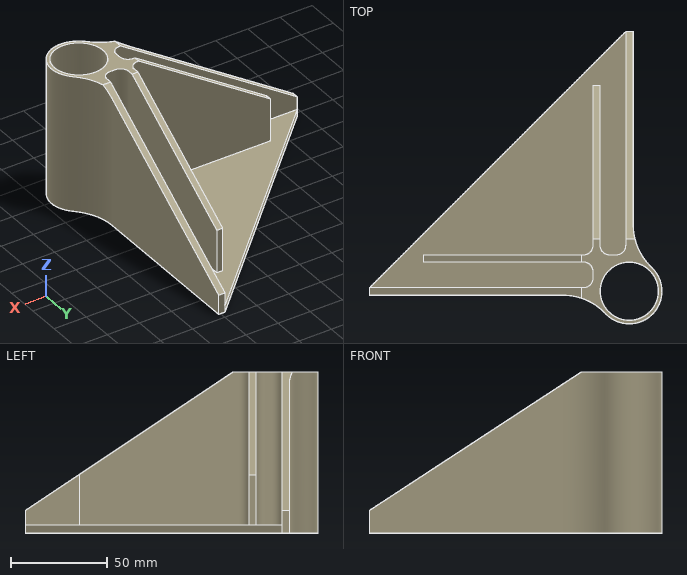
import cadquery as cq
import math

hub_radius = 17.0
bore_diameter = 30.1
overall = 152.2
height = 84.0
floor_thickness = 4.3

leg_end = overall - hub_radius
wall_outer = 2.1
wall_thickness = 4.0
wall_inner = wall_thickness - wall_outer
rib_thickness = 3.7
rib_inner = 18.9
rib_outer = rib_inner - rib_thickness
rib_end = 107.1
corner_radius = 5.0

slope_start_x = 25.0
slope_start_y = 27.2
tip_height = 12.0

blend_radius = 30.0
blend_center_y = -wall_outer - blend_radius
blend_distance = hub_radius + blend_radius
blend_start = math.sqrt(blend_distance**2 - blend_center_y**2)
hub_share = hub_radius / blend_distance
tangent_point = (-blend_start * hub_share, blend_center_y * hub_share)
tangent_angle = math.atan2(-blend_center_y, blend_start)
middle_angle = (tangent_angle + math.pi / 2) / 2
blend_middle = (
    -blend_start + blend_radius * math.cos(middle_angle),
    blend_center_y + blend_radius * math.sin(middle_angle),
)
hub_far_point = (hub_radius * math.sqrt(0.5), -hub_radius * math.sqrt(0.5))


def swap(point):
    """Mirror a plan point from the -X leg to the +Y leg."""
    return (-point[1], -point[0])


def swap_ranges(ranges):
    """Mirror a pair of X and Y ranges from the -X leg to the +Y leg."""
    x_range, y_range = ranges
    return (swap(y_range), swap(x_range))


def box(x_range, y_range, bottom):
    """Upright box from the given bottom to the top of the part."""
    size_x = x_range[1] - x_range[0]
    size_y = y_range[1] - y_range[0]
    corner = (x_range[0], y_range[0], bottom)
    return cq.Workplane("XY").box(size_x, size_y, height - bottom, centered=False).translate(corner)


def plan_body():
    """Full-height block with the triangular outline and the blended hub."""
    wall_tip = (-leg_end, -wall_outer)
    inner_tip = (-leg_end, wall_inner)
    wall_end = (-blend_start, -wall_outer)
    return (
        cq.Workplane("XY")
        .moveTo(*inner_tip)
        .lineTo(*wall_tip)
        .lineTo(*wall_end)
        .threePointArc(blend_middle, tangent_point)
        .threePointArc(hub_far_point, swap(tangent_point))
        .threePointArc(swap(blend_middle), swap(wall_end))
        .lineTo(*swap(wall_tip))
        .lineTo(*swap(inner_tip))
        .close()
        .extrude(height)
    )


def main_pocket():
    """Open pocket between the two ribs, rounded at its inner corner."""
    pocket = box((-leg_end, -rib_inner), (rib_inner, leg_end), floor_thickness)
    return pocket.edges("|Z and >X and <Y").fillet(corner_radius)


def slot_and_rib_end(leg_is_y):
    """Slot between wall and rib of one leg, plus the clear space past the rib."""
    slot_ranges = ((-leg_end, -rib_inner), (wall_inner, rib_outer))
    clear_ranges = ((-leg_end, -rib_end), (wall_inner, rib_inner))
    if leg_is_y:
        slot_ranges = swap_ranges(slot_ranges)
        clear_ranges = swap_ranges(clear_ranges)
    slot = box(*slot_ranges, floor_thickness)
    slot = slot.edges("|Z").edges("<Y" if leg_is_y else ">X").fillet(corner_radius)
    return slot.union(box(*clear_ranges, floor_thickness))


def slope_cutter(plane, direction, slope_start):
    """Wedge above the falling top edge of a leg, wide enough to cross the whole part."""
    return (
        cq.Workplane(plane)
        .polyline([
            (direction * slope_start, height),
            (direction * leg_end, tip_height),
            (direction * leg_end, height),
        ])
        .close()
        .extrude(overall, both=True)
    )


result = plan_body().cut(main_pocket())
for leg_is_y in (False, True):
    result = result.cut(slot_and_rib_end(leg_is_y))
result = result.cut(slope_cutter("XZ", -1, slope_start_x)).cut(slope_cutter("YZ", 1, slope_start_y))

bore = cq.Workplane("XY").circle(bore_diameter / 2).extrude(height)
result = result.cut(bore)